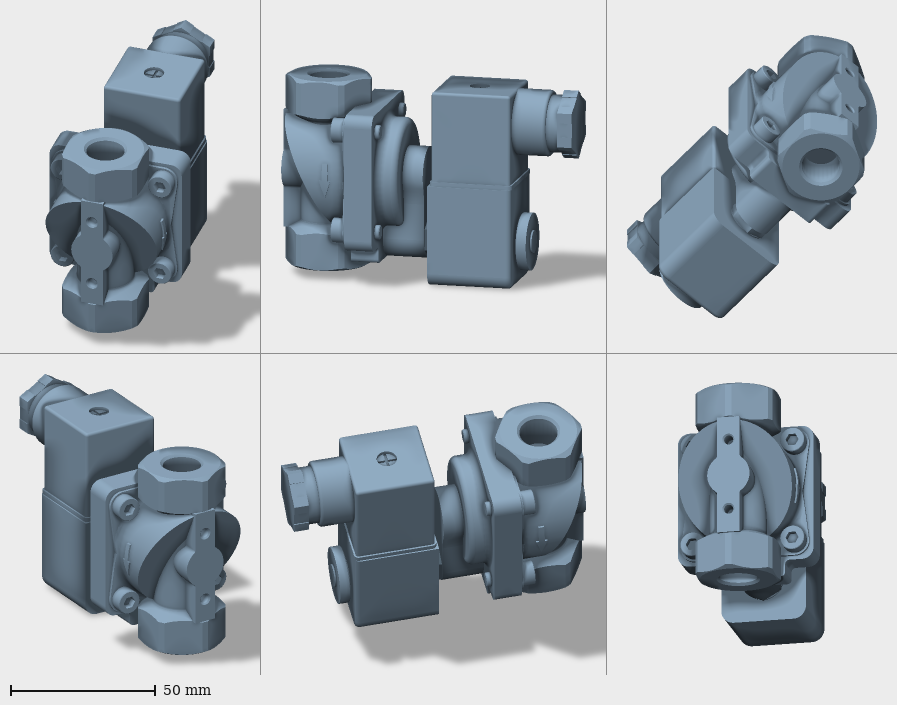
import cadquery as cq
import math


PIPE_HALF_LENGTH = 33.5
PIPE_RADIUS = 9.92
HEX_FLATS = 27.3
HEX_CORNER_REACH = 15.1
HEX_END_RADIUS = 13.3
HEX_CONE_ANGLE = math.radians(30)
HEX_CONE_SLOPE = math.tan(HEX_CONE_ANGLE)
HEX_ROOT_Z = 18.15
HEX_ROOT_FILLET = 1.0
HEX_BLANK_RADIUS = 20.0
PORT_MOUTH_DIAMETER = 15.0
PORT_DIAMETER = 13.2
PORT_FLOOR_DIAMETER = 12.4
PORT_TAPER = 1 / 16
PORT_DEPTH = (PORT_DIAMETER - PORT_FLOOR_DIAMETER) / PORT_TAPER

BODY_RADIUS = 20.0
BODY_FILLET = 1.8
SLANT_Y = -4.74
SLANT_SLOPE = 0.487

FLANGE_SIZE = 48.0
FLANGE_Y = 11.25
FLANGE_BACK_Y = 21.0
FLANGE_CORNER = 4.0
PLATE_THICKNESS = 1.0
PLATE_Y = FLANGE_Y - PLATE_THICKNESS
PLATE_WAIST = 20.4
SCREW_CIRCLE_RADIUS = 25.0
SCREW_OFFSET = SCREW_CIRCLE_RADIUS / math.sqrt(2)
EAR_RADIUS = 5.0
HEAD_DIAMETER = 8.5
HEAD_FACE_DIAMETER = 8.04
HEAD_HEIGHT = 4.4
SOCKET_FLATS = 4.0
SOCKET_DEPTH = 2.5
SCREW_DIAMETER = 5.0
SCREW_END_Y = 22.7
SCREW_END_CHAMFER = 0.3

TAB_WIDTH = 28.0
TAB_CORNER = 1.5
COVER_RADIUS = 19.0
COVER_BACK_Y = 28.45
COVER_FILLET = 2.1
NECK_RADIUS = 9.4
NECK_BACK_Y = 35.6
NECK_BLEND = 15.0
COIL_AXIS_Z = -22.2
STEM_RADIUS = 7.5
STEM_BOTTOM_Z = COIL_AXIS_Z - STEM_RADIUS
COLLAR_DIAMETER = 14.0
COLLAR_Y = 38.1

BRACKET_FACE_Y = -HEX_CORNER_REACH
BRACKET_WIDTH = 8.0
BRACKET_LENGTH = 41.5
BRACKET_ROOT_Y = -8.0
BRACKET_DISC_RADIUS = 7.5
BRACKET_FILLET = 1.0
MOUNT_HOLE_SPACING = 25.0
MOUNT_HOLE_DIAMETER = 3.24
MOUNT_HOLE_MOUTH = 4.3
MOUNT_HOLE_DEPTH = 6.0
MOUNT_HOLE_TIP_ANGLE = 118
ARROW_Y = 3.4
ARROW_SHAFT_WIDTH = 2.0
ARROW_HEAD_WIDTH = 4.0
ARROW_HALF_LENGTH = 6.1
ARROW_HEIGHT = 0.6

COIL_WIDTH = 30.0
COIL_Y = 38.5
COIL_BACK_Y = 67.9
COIL_TOP_Z = -1.25
COIL_BOTTOM_Z = -36.7
COIL_BOTTOM_CORNER = 4.5
COIL_BACK_FILLET = 1.6
SPACER_DIAMETER = 12.5
SPACER_BACK_Y = 68.6
NUT_DIAMETER = 20.0
NUT_CHAMFER = 0.3
NUT_BACK_Y = 72.3
STUD_DIAMETER = 8.04
STUD_BACK_Y = 72.9

PLUG_SIZE = 27.9
PLUG_CENTER_Y = 53.65
PLUG_TOP_Z = 31.9
PLUG_FILLET = 1.0
GASKET_SIZE = 29.1
GASKET_TOP_Z = 0.3
GASKET_CORNER = 1.6
COVER_SCREW_DIAMETER = 7.0
COVER_SCREW_RECESS = 1.2
CROSS_SLOT_WIDTH = 0.95
CROSS_SLOT_DEPTH = 0.8
GLAND_AXIS_Z = 20.1
GLAND_RADIUS = 11.5
GLAND_BACK_Y = 79.4
GLAND_FILLET = 1.0
GLAND_NECK_RADIUS = 10.0
GLAND_NUT_Y = 83.5
GLAND_NUT_BACK_Y = 88.7
GLAND_NUT_FLATS = 20.8
GLAND_GROOVE_WIDTH = 5.0
GLAND_GROOVE_DEPTH = 0.3


def along_y(y):
    """Workplane at height y with local axes X and Z; extrude by a negative length to go towards +Y."""
    return cq.Workplane("XZ", origin=(0, y, 0))


def disc_y(radius, y_start, y_end, z=0):
    return along_y(y_start).center(0, z).circle(radius).extrude(y_start - y_end)


def across_corners(flats):
    return flats / math.cos(math.pi / 6)


def revolve(profile):
    """Turn a half profile about the local Y axis: Z for an XZ sketch, Y for an XY sketch."""
    return profile.close().revolve(360, (0, 0, 0), (0, 1, 0))


def hex_blank():
    """Hexagon with two corners on the Y axis and each corner cut off flat."""
    height = 2 * PIPE_HALF_LENGTH
    flats = cq.Workplane("XY").polygon(6, across_corners(HEX_FLATS)).extrude(height, both=True)
    flats = flats.rotate((0, 0, 0), (0, 0, 1), 30)
    corners = cq.Workplane("XY").polygon(6, across_corners(2 * HEX_CORNER_REACH)).extrude(height, both=True)
    return flats.intersect(corners)


def pipe_end():
    """Upper hexagon end, with cones trimming it at the port face and towards the pipe."""
    end_cone_z = PIPE_HALF_LENGTH - (HEX_BLANK_RADIUS - HEX_END_RADIUS) * HEX_CONE_SLOPE
    root_cone_z = HEX_ROOT_Z + (HEX_BLANK_RADIUS - PIPE_RADIUS) * HEX_CONE_SLOPE
    tangent = HEX_ROOT_FILLET * HEX_CONE_SLOPE
    cone_start_r = PIPE_RADIUS + tangent * math.cos(HEX_CONE_ANGLE)
    cone_start_z = HEX_ROOT_Z + tangent * math.sin(HEX_CONE_ANGLE)
    arc_middle_r = PIPE_RADIUS + HEX_ROOT_FILLET * (1 - math.cos(HEX_CONE_ANGLE))
    arc_middle_z = HEX_ROOT_Z - tangent + HEX_ROOT_FILLET * math.sin(HEX_CONE_ANGLE)
    profile = (
        cq.Workplane("XZ")
        .moveTo(0, 0)
        .lineTo(PIPE_RADIUS, 0)
        .lineTo(PIPE_RADIUS, HEX_ROOT_Z - tangent)
        .threePointArc((arc_middle_r, arc_middle_z), (cone_start_r, cone_start_z))
        .lineTo(HEX_BLANK_RADIUS, root_cone_z)
        .lineTo(HEX_BLANK_RADIUS, end_cone_z)
        .lineTo(HEX_END_RADIUS, PIPE_HALF_LENGTH)
        .lineTo(0, PIPE_HALF_LENGTH)
    )
    return revolve(profile).intersect(hex_blank())


def port():
    """Tapered bore of the upper end with its 45 degree mouth."""
    mouth_depth = (PORT_MOUTH_DIAMETER - PORT_DIAMETER) / 2
    profile = (
        cq.Workplane("XZ")
        .moveTo(0, PIPE_HALF_LENGTH)
        .lineTo(PORT_MOUTH_DIAMETER / 2, PIPE_HALF_LENGTH)
        .lineTo(PORT_DIAMETER / 2, PIPE_HALF_LENGTH - mouth_depth)
        .lineTo(PORT_FLOOR_DIAMETER / 2, PIPE_HALF_LENGTH - PORT_DEPTH)
        .lineTo(0, PIPE_HALF_LENGTH - PORT_DEPTH)
    )
    return revolve(profile)


def both_ends(shape):
    return shape.union(shape.mirror("XY"))


def round_body():
    """Cylinder along Y, cut off by the slanted face."""
    top_y = SLANT_Y - SLANT_SLOPE * BODY_RADIUS
    bottom_y = SLANT_Y + SLANT_SLOPE * BODY_RADIUS
    wedge = (
        cq.Workplane("YZ")
        .polyline([
            (FLANGE_Y, -BODY_RADIUS),
            (FLANGE_Y, BODY_RADIUS),
            (top_y, BODY_RADIUS),
            (bottom_y, -BODY_RADIUS),
        ])
        .close()
        .extrude(BODY_RADIUS, both=True)
    )
    return disc_y(BODY_RADIUS, top_y, FLANGE_Y).intersect(wedge)


def plate_outline(y):
    """Sketch with four round ears, straight top and bottom, and sides drawn in to a waist."""
    reach = math.hypot(SCREW_OFFSET - PLATE_WAIST, SCREW_OFFSET)
    to_waist = math.atan2(-SCREW_OFFSET, PLATE_WAIST - SCREW_OFFSET)
    tangent_angle = to_waist + math.acos(EAR_RADIUS / reach)
    middle_angle = (tangent_angle + math.pi / 2) / 2

    def ear_point(angle, side_x, side_z):
        x = SCREW_OFFSET + EAR_RADIUS * math.cos(angle)
        z = SCREW_OFFSET + EAR_RADIUS * math.sin(angle)
        return (side_x * x, side_z * z)

    def ear_arc(sketch, angles, side_x, side_z):
        start, middle, end = [ear_point(angle, side_x, side_z) for angle in angles]
        return sketch.lineTo(*start).threePointArc(middle, end)

    rising = (tangent_angle, middle_angle, math.pi / 2)
    falling = rising[::-1]
    sketch = along_y(y).moveTo(PLATE_WAIST, 0)
    sketch = ear_arc(sketch, rising, 1, 1)
    sketch = ear_arc(sketch, falling, -1, 1)
    sketch = sketch.lineTo(-PLATE_WAIST, 0)
    sketch = ear_arc(sketch, rising, -1, -1)
    sketch = ear_arc(sketch, falling, 1, -1)
    return sketch.close()


def screw_plate():
    """Thin plate under the screw heads, with the fillet that runs up to the round body."""
    fillet_y = PLATE_Y - BODY_FILLET
    plate = plate_outline(PLATE_Y).extrude(-PLATE_THICKNESS)
    fillet_profile = (
        cq.Workplane("XY")
        .moveTo(0, fillet_y)
        .lineTo(BODY_RADIUS, fillet_y)
        .radiusArc((BODY_RADIUS + BODY_FILLET, PLATE_Y), BODY_FILLET)
        .lineTo(0, PLATE_Y)
    )
    fillet_trim = plate_outline(fillet_y).extrude(-BODY_FILLET)
    return plate.union(revolve(fillet_profile).intersect(fillet_trim))


def flange():
    """Square flange with the rounded tab that carries the stem below it."""
    tab_height = FLANGE_SIZE / 2 - STEM_BOTTOM_Z
    thickness = FLANGE_BACK_Y - FLANGE_Y
    square = along_y(FLANGE_Y).rect(FLANGE_SIZE, FLANGE_SIZE).extrude(-thickness)
    square = square.edges("|Y").fillet(FLANGE_CORNER)
    tab = along_y(FLANGE_Y).center(0, STEM_BOTTOM_Z + tab_height / 2).rect(TAB_WIDTH, tab_height)
    tab = tab.extrude(-thickness).edges("|Y and <Z").fillet(TAB_CORNER)
    inner_corners = cq.selectors.BoxSelector(
        (-TAB_WIDTH, FLANGE_Y, -FLANGE_SIZE / 2 - TAB_CORNER / 2),
        (TAB_WIDTH, FLANGE_BACK_Y, -FLANGE_SIZE / 2 + TAB_CORNER / 2),
    )
    flange_with_tab = square.union(tab)
    return flange_with_tab.edges("|Y").edges(inner_corners).fillet(TAB_CORNER)


def screw():
    """Socket head screw on the Y axis, with its end standing out behind the flange."""
    head_y = PLATE_Y - HEAD_HEIGHT
    chamfer = (HEAD_DIAMETER - HEAD_FACE_DIAMETER) / 2
    head = disc_y(HEAD_DIAMETER / 2, head_y, PLATE_Y).faces("<Y").chamfer(chamfer)
    shank = disc_y(SCREW_DIAMETER / 2, PLATE_Y, SCREW_END_Y).faces(">Y").chamfer(SCREW_END_CHAMFER)
    socket = along_y(head_y).polygon(6, across_corners(SOCKET_FLATS)).extrude(-SOCKET_DEPTH)
    return head.union(shank).cut(socket)


def cover():
    """Round cover behind the flange, rounded at its back and filleted to the flange."""
    profile = (
        cq.Workplane("XY")
        .moveTo(0, FLANGE_BACK_Y)
        .lineTo(COVER_RADIUS + COVER_FILLET, FLANGE_BACK_Y)
        .radiusArc((COVER_RADIUS, FLANGE_BACK_Y + COVER_FILLET), COVER_FILLET)
        .lineTo(COVER_RADIUS, COVER_BACK_Y - COVER_FILLET)
        .radiusArc((COVER_RADIUS - COVER_FILLET, COVER_BACK_Y), -COVER_FILLET)
        .lineTo(0, COVER_BACK_Y)
    )
    return revolve(profile)


def neck():
    """Keyhole-shaped neck: round at the cover, with straight sides down to the stem."""
    blend_x = STEM_RADIUS + NECK_BLEND
    blend_z = -math.sqrt((NECK_RADIUS + NECK_BLEND) ** 2 - blend_x ** 2)
    share = NECK_RADIUS / (NECK_RADIUS + NECK_BLEND)
    touch_x = share * blend_x
    touch_z = share * blend_z
    outline = (
        along_y(FLANGE_BACK_Y)
        .moveTo(-touch_x, touch_z)
        .threePointArc((0, NECK_RADIUS), (touch_x, touch_z))
        .radiusArc((STEM_RADIUS, blend_z), -NECK_BLEND)
        .lineTo(STEM_RADIUS, COIL_AXIS_Z)
        .threePointArc((0, STEM_BOTTOM_Z), (-STEM_RADIUS, COIL_AXIS_Z))
        .lineTo(-STEM_RADIUS, blend_z)
        .radiusArc((-touch_x, touch_z), -NECK_BLEND)
        .close()
    )
    return outline.extrude(FLANGE_BACK_Y - NECK_BACK_Y)


def stem():
    """Hexagon behind the neck, corners up and down, and the thin collar that meets the coil."""
    hexagon = along_y(NECK_BACK_Y).polygon(6, 2 * STEM_RADIUS).extrude(NECK_BACK_Y - COLLAR_Y)
    hexagon = hexagon.rotate((0, 0, 0), (0, 1, 0), 30).translate((0, 0, COIL_AXIS_Z))
    return hexagon.union(disc_y(COLLAR_DIAMETER / 2, COLLAR_Y, COIL_Y, COIL_AXIS_Z))


def bracket():
    """Flat mounting bar with a round pad in the middle."""
    depth = BRACKET_ROOT_Y - BRACKET_FACE_Y
    bar = along_y(BRACKET_FACE_Y).rect(BRACKET_WIDTH, BRACKET_LENGTH).extrude(-depth)
    pad = disc_y(BRACKET_DISC_RADIUS, BRACKET_FACE_Y, 0)
    half_width = BRACKET_WIDTH / 2
    blend_x = half_width + BRACKET_FILLET
    blend_reach = BRACKET_DISC_RADIUS + BRACKET_FILLET
    blend_z = math.sqrt(blend_reach ** 2 - blend_x ** 2)
    touch_x = blend_x * BRACKET_DISC_RADIUS / blend_reach
    touch_z = blend_z * BRACKET_DISC_RADIUS / blend_reach
    blends = (
        along_y(BRACKET_FACE_Y)
        .moveTo(half_width, blend_z)
        .radiusArc((touch_x, touch_z), -BRACKET_FILLET)
        .lineTo(-touch_x, touch_z)
        .radiusArc((-half_width, blend_z), -BRACKET_FILLET)
        .close()
        .extrude(-depth)
    )
    return bar.union(pad).union(both_ends(blends))


def mount_hole():
    """Blind hole in the bracket with a countersunk mouth and a drill point."""
    radius = MOUNT_HOLE_DIAMETER / 2
    mouth_depth = MOUNT_HOLE_MOUTH / 2 - radius
    floor_y = BRACKET_FACE_Y + MOUNT_HOLE_DEPTH
    tip_y = floor_y + radius / math.tan(math.radians(MOUNT_HOLE_TIP_ANGLE / 2))
    profile = (
        cq.Workplane("XY")
        .moveTo(0, BRACKET_FACE_Y)
        .lineTo(MOUNT_HOLE_MOUTH / 2, BRACKET_FACE_Y)
        .lineTo(radius, BRACKET_FACE_Y + mouth_depth)
        .lineTo(radius, floor_y)
        .lineTo(0, tip_y)
    )
    return revolve(profile).translate((0, 0, MOUNT_HOLE_SPACING / 2))


def flow_arrows():
    """Raised arrows on both flanks of the round body, pointing down."""
    outline = (
        cq.Workplane("YZ")
        .polyline([
            (ARROW_Y - ARROW_SHAFT_WIDTH / 2, ARROW_HALF_LENGTH),
            (ARROW_Y + ARROW_SHAFT_WIDTH / 2, ARROW_HALF_LENGTH),
            (ARROW_Y + ARROW_SHAFT_WIDTH / 2, 0),
            (ARROW_Y + ARROW_HEAD_WIDTH / 2, 0),
            (ARROW_Y, -ARROW_HALF_LENGTH),
            (ARROW_Y - ARROW_HEAD_WIDTH / 2, 0),
            (ARROW_Y - ARROW_SHAFT_WIDTH / 2, 0),
        ])
        .close()
        .extrude(2 * BODY_RADIUS, both=True)
    )
    y_start = ARROW_Y - ARROW_HEAD_WIDTH
    y_end = ARROW_Y + ARROW_HEAD_WIDTH
    inner_radius = BODY_RADIUS - ARROW_HEIGHT
    shell = disc_y(BODY_RADIUS + ARROW_HEIGHT, y_start, y_end).cut(disc_y(inner_radius, y_start, y_end))
    return shell.intersect(outline)


def make_valve():
    valve = round_body().union(screw_plate()).union(flange())
    valve = valve.union(both_ends(pipe_end())).union(bracket())
    valve = valve.union(cover()).union(neck()).union(stem()).union(flow_arrows())
    for side_x in (-1, 1):
        for side_z in (-1, 1):
            place = (side_x * SCREW_OFFSET, 0, side_z * SCREW_OFFSET)
            valve = valve.union(screw().translate(place))
    return valve.cut(both_ends(port())).cut(both_ends(mount_hole()))


def make_coil():
    """Coil block with rounded bottom corners and the spacer, nut and stud on its back."""
    height = COIL_TOP_Z - COIL_BOTTOM_Z
    block = along_y(COIL_Y).center(0, COIL_BOTTOM_Z + height / 2).rect(COIL_WIDTH, height)
    block = block.extrude(COIL_Y - COIL_BACK_Y)
    block = block.edges("|Y and <Z").fillet(COIL_BOTTOM_CORNER)
    block = block.faces(">Y").edges("not >Z").fillet(COIL_BACK_FILLET)
    spacer = disc_y(SPACER_DIAMETER / 2, COIL_BACK_Y, SPACER_BACK_Y, COIL_AXIS_Z)
    nut = disc_y(NUT_DIAMETER / 2, SPACER_BACK_Y, NUT_BACK_Y, COIL_AXIS_Z)
    nut = nut.faces("<Y").chamfer(NUT_CHAMFER)
    stud = disc_y(STUD_DIAMETER / 2, NUT_BACK_Y, STUD_BACK_Y, COIL_AXIS_Z)
    return block.union(spacer).union(nut).union(stud)


def cover_screw_recess():
    """Round recess on top of the plug, with a cross slot in its floor."""
    floor_z = PLUG_TOP_Z - COVER_SCREW_RECESS
    floor = cq.Workplane("XY", origin=(0, PLUG_CENTER_Y, floor_z))
    recess = floor.circle(COVER_SCREW_DIAMETER / 2).extrude(COVER_SCREW_RECESS)
    cross = floor.rect(COVER_SCREW_DIAMETER, CROSS_SLOT_WIDTH).extrude(-CROSS_SLOT_DEPTH)
    cross = cross.union(floor.rect(CROSS_SLOT_WIDTH, COVER_SCREW_DIAMETER).extrude(-CROSS_SLOT_DEPTH))
    return recess.union(cross)


def gland_nut():
    """Hexagon nut, corners up and down, with a shallow groove along each flat."""
    length = GLAND_NUT_BACK_Y - GLAND_NUT_Y
    nut = along_y(GLAND_NUT_Y).polygon(6, across_corners(GLAND_NUT_FLATS)).extrude(-length)
    groove = (
        along_y(GLAND_NUT_Y)
        .center(0, GLAND_NUT_FLATS / 2)
        .rect(GLAND_GROOVE_WIDTH, 2 * GLAND_GROOVE_DEPTH)
        .extrude(-length)
    )
    for side in range(6):
        nut = nut.cut(groove.rotate((0, 0, 0), (0, 1, 0), 60 * side))
    return nut.rotate((0, 0, 0), (0, 1, 0), 30).translate((0, 0, GLAND_AXIS_Z))


def make_connector():
    """Plug block standing on its gasket, with the cable gland on its back."""
    gasket = cq.Workplane("XY", origin=(0, PLUG_CENTER_Y, COIL_TOP_Z)).rect(GASKET_SIZE, GASKET_SIZE)
    gasket = gasket.extrude(GASKET_TOP_Z - COIL_TOP_Z).edges("|Z").fillet(GASKET_CORNER)
    block = cq.Workplane("XY", origin=(0, PLUG_CENTER_Y, GASKET_TOP_Z)).rect(PLUG_SIZE, PLUG_SIZE)
    block = block.extrude(PLUG_TOP_Z - GASKET_TOP_Z).edges("|Z or >Z").fillet(PLUG_FILLET)
    gland = disc_y(GLAND_RADIUS, PLUG_CENTER_Y, GLAND_BACK_Y, GLAND_AXIS_Z).faces(">Y").fillet(GLAND_FILLET)
    gland_neck = disc_y(GLAND_NECK_RADIUS, GLAND_BACK_Y, GLAND_NUT_Y, GLAND_AXIS_Z)
    connector = gasket.union(block).union(gland).union(gland_neck).union(gland_nut())
    return connector.cut(cover_screw_recess())


valve = make_valve()
coil = make_coil()
connector = make_connector()

result = cq.Compound.makeCompound([valve.val(), coil.val(), connector.val()])